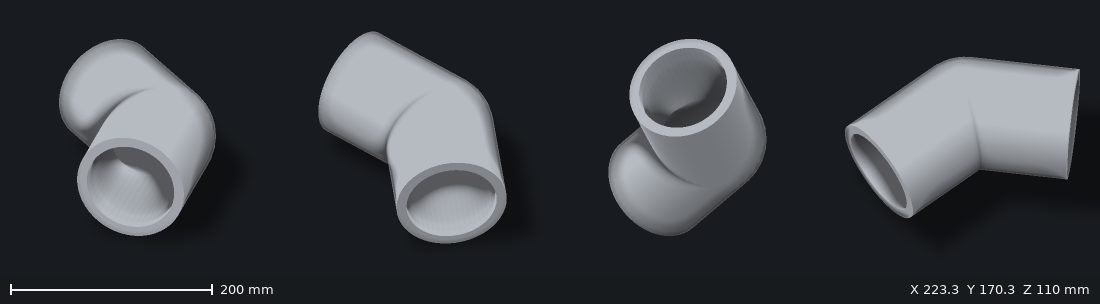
import cadquery as cq
import math

overall_length = 223.3
outer_diameter = 110.0
inner_diameter = 90.0
bend_angle = 45.0

bend = math.radians(bend_angle)
leg_length = (overall_length - outer_diameter / 2 * math.sin(bend)) / (1 + math.cos(bend))

joint_centre = cq.Vector(0, 0, 0)
inlet_direction = cq.Vector(-1, 0, 0)
outlet_direction = cq.Vector(math.cos(bend), -math.sin(bend), 0)


def leg(diameter, direction):
    """Solid cylinder from the joint centre out to the end face of a leg."""
    return cq.Workplane(cq.Solid.makeCylinder(diameter / 2, leg_length, joint_centre, direction))


def elbow(diameter):
    """Both legs joined by a sphere of the same diameter."""
    joint = cq.Workplane("XY").sphere(diameter / 2)
    return leg(diameter, inlet_direction).union(leg(diameter, outlet_direction)).union(joint)


result = elbow(outer_diameter).cut(elbow(inner_diameter))